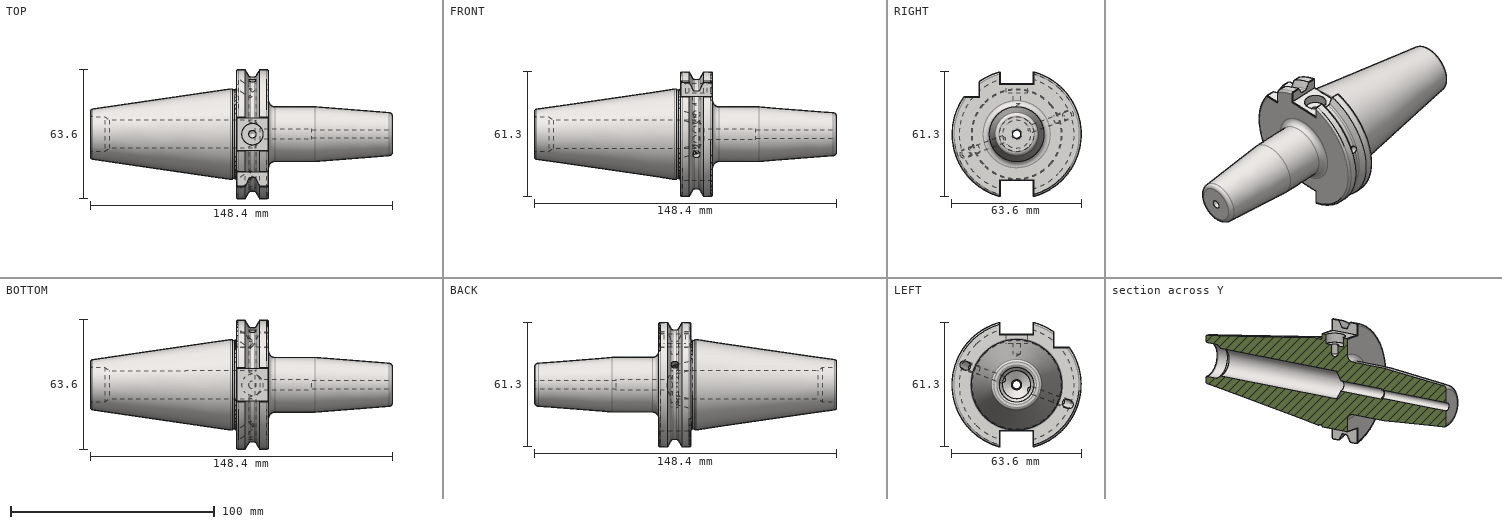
import cadquery as cq
import math


gauge_radius = 44.45 / 2
shank_length = 68.4
taper_slope = 7 / 48
shank_end_x = -shank_length
shank_end_radius = gauge_radius - shank_length * taper_slope
shank_end_fillet = 1.2

collar_start_x = 0.4
relief_start_x = 1.2
relief_depth = 0.45
shank_root_fillet = 0.8

flange_start_x = 3.2
flange_end_x = 19.1
flange_radius = 63.55 / 2
flange_fillet = 1.0
groove_x = 11.1
groove_mouth_half = 3.6
groove_bottom_radius = 56.25 / 2
groove_flank_angle = math.radians(30)
groove_corner_fillet = 1.0
groove_depth = flange_radius - groove_bottom_radius
groove_floor_half = groove_mouth_half - groove_depth * math.tan(groove_flank_angle)

nose_end_x = 80.0
nose_radius = 27 / 2
nose_tip_radius = 21 / 2
nose_taper_angle = math.radians(4.5)
nose_taper_x = nose_end_x - (nose_radius - nose_tip_radius) / math.tan(nose_taper_angle)
nose_root_fillet = 3.0
nose_tip_fillet = 2.0

keyway_width = 16.1
upper_keyway_floor = 24.8
lower_keyway_floor = 22.8
notch_offset = 18.5
rim_cut_chamfer = 0.35

pocket_radius = 10.5 / 2
pocket_depth = 4.6
pocket_pilot_radius = 3.7 / 2
pocket_pilot_depth = 5.0

counterbore_radius = 17 / 2
counterbore_depth = 7.0
counterbore_mouth_fillet = 1.2
thread_radius = 13.8 / 2
thread_lead_in_angle = math.radians(35)
bore_cone_x = 12.3
drill_tip_half_angle = math.radians(59)
channel_radius = 5 / 2
outlet_radius = 4 / 2
outlet_length = 40.0

coolant_inlet_radius = 4.4 / 2
coolant_port_radius = 3.6 / 2
coolant_inlet_distance = 26.9
coolant_inlet_tilt = 37
coolant_angles = (20.5, 200.5)


def revolve_about_x(outline):
    """Turn an outline drawn as (x, radius) into a solid about the X axis."""
    return outline.close().revolve(360, (0, 0, 0), (1, 0, 0))


def shank_and_nose():
    collar_radius = gauge_radius + collar_start_x * taper_slope
    relief_radius = collar_radius - relief_depth
    shank = revolve_about_x(
        cq.Workplane("XY")
        .moveTo(shank_end_x, 0)
        .lineTo(shank_end_x, shank_end_radius)
        .lineTo(collar_start_x, collar_radius)
        .lineTo(relief_start_x, collar_radius)
        .radiusArc((relief_start_x + relief_depth, relief_radius), -relief_depth)
        .lineTo(flange_start_x - shank_root_fillet, relief_radius)
        .radiusArc((flange_start_x, relief_radius + shank_root_fillet), -shank_root_fillet)
        .lineTo(flange_start_x, 0)
    )
    shank = shank.faces("<X").edges().fillet(shank_end_fillet)
    nose_base_radius = nose_radius + nose_root_fillet
    nose_root_x = flange_end_x + nose_root_fillet
    arc_reach = nose_root_fillet * math.sqrt(0.5)
    nose = revolve_about_x(
        cq.Workplane("XY")
        .moveTo(flange_end_x, 0)
        .lineTo(flange_end_x, nose_base_radius)
        .threePointArc((nose_root_x - arc_reach, nose_base_radius - arc_reach), (nose_root_x, nose_radius))
        .lineTo(nose_taper_x, nose_radius)
        .lineTo(nose_end_x, nose_tip_radius)
        .lineTo(nose_end_x, 0)
    )
    nose = nose.faces(">X").edges().fillet(nose_tip_fillet)
    return shank.union(nose)


def gripper_groove():
    ring = revolve_about_x(
        cq.Workplane("XY")
        .moveTo(groove_x - groove_mouth_half, flange_radius)
        .lineTo(groove_x - groove_floor_half, groove_bottom_radius)
        .lineTo(groove_x + groove_floor_half, groove_bottom_radius)
        .lineTo(groove_x + groove_mouth_half, flange_radius)
    )
    floor_edges = cq.selectors.RadiusNthSelector(0)
    return ring.edges(floor_edges).fillet(groove_corner_fillet)


def rim_cut(y_min, y_max, z_min, z_max):
    """Block that cuts the rim over the whole flange thickness."""
    length = flange_end_x - flange_start_x
    block = cq.Workplane("XY").box(length, y_max - y_min, z_max - z_min, centered=False)
    return block.translate((flange_start_x, y_min, z_min))


def flange_with_rim_cuts():
    half = keyway_width / 2
    flange = cq.Workplane("YZ", (flange_start_x, 0, 0)).circle(flange_radius)
    flange = flange.extrude(flange_end_x - flange_start_x).edges("%CIRCLE").fillet(flange_fillet)
    flange = flange.cut(rim_cut(-half, half, upper_keyway_floor, flange_radius))
    flange = flange.cut(rim_cut(-half, half, -flange_radius, -lower_keyway_floor))
    flange = flange.cut(rim_cut(-flange_radius, -notch_offset, notch_offset, flange_radius))
    walls = flange.faces("%PLANE").faces("#X")
    return walls.edges("not |X").chamfer(rim_cut_chamfer)


def keyway_pocket():
    floor = cq.Workplane("XY", (groove_x, 0, upper_keyway_floor))
    pocket = floor.circle(pocket_radius).extrude(-pocket_depth)
    pilot = floor.circle(pocket_pilot_radius).extrude(-pocket_depth - pocket_pilot_depth)
    tip_depth = pocket_pilot_radius / math.tan(drill_tip_half_angle)
    tip_base = cq.Vector(groove_x, 0, upper_keyway_floor - pocket_depth - pocket_pilot_depth)
    tip = cq.Solid.makeCone(pocket_pilot_radius, 0, tip_depth, tip_base, cq.Vector(0, 0, -1))
    return pocket.union(pilot).union(cq.Workplane(tip))


def axial_bores():
    counterbore_end_x = shank_end_x + counterbore_depth
    thread_start_x = counterbore_end_x + (counterbore_radius - thread_radius) / math.tan(thread_lead_in_angle)
    cone_end_x = bore_cone_x + (thread_radius - channel_radius) / math.tan(drill_tip_half_angle)
    outlet_x = nose_end_x - outlet_length
    return revolve_about_x(
        cq.Workplane("XY")
        .moveTo(shank_end_x, 0)
        .lineTo(shank_end_x, counterbore_radius + counterbore_mouth_fillet)
        .radiusArc((shank_end_x + counterbore_mouth_fillet, counterbore_radius), -counterbore_mouth_fillet)
        .lineTo(counterbore_end_x, counterbore_radius)
        .lineTo(thread_start_x, thread_radius)
        .lineTo(bore_cone_x, thread_radius)
        .lineTo(cone_end_x, channel_radius)
        .lineTo(outlet_x, channel_radius)
        .lineTo(outlet_x, outlet_radius)
        .lineTo(nose_end_x, outlet_radius)
        .lineTo(nose_end_x, 0)
    )


def coolant_hole(angle):
    """Radial port from the groove floor to the bore, met by a slanted hole from the flange face."""
    port = cq.Solid.makeCylinder(
        coolant_port_radius, flange_radius, cq.Vector(groove_x, 0, 0), cq.Vector(0, 1, 0)
    )
    tilt = math.radians(coolant_inlet_tilt)
    direction = cq.Vector(math.cos(tilt), -math.sin(tilt), 0)
    inlet_depth = (groove_x - flange_start_x) / math.cos(tilt)
    lead_in = 2 * coolant_inlet_radius
    start = cq.Vector(flange_start_x, coolant_inlet_distance, 0) - direction * lead_in
    inlet = cq.Solid.makeCylinder(coolant_inlet_radius, inlet_depth + lead_in, start, direction)
    hole = cq.Workplane(port).union(cq.Workplane(inlet))
    return hole.rotate((0, 0, 0), (1, 0, 0), angle)


result = shank_and_nose().union(flange_with_rim_cuts())
result = result.cut(gripper_groove()).cut(keyway_pocket()).cut(axial_bores())
for coolant_angle in coolant_angles:
    result = result.cut(coolant_hole(coolant_angle))